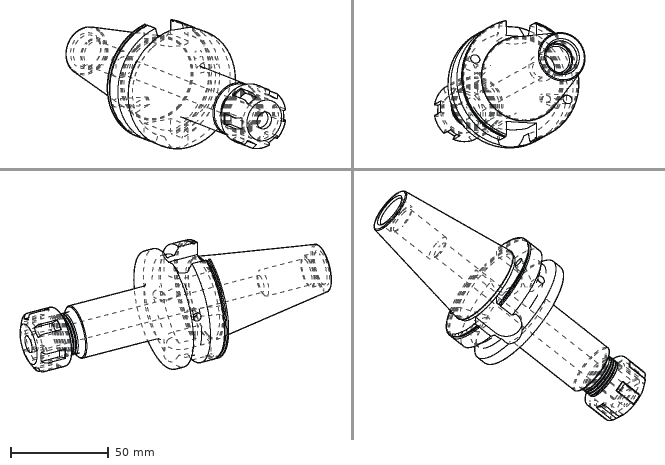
import cadquery as cq
import math

overall_length = 165.4

taper_length = 65.7
taper_end_radius = 22.2
taper_per_length = 7 / 24
taper_start_radius = taper_end_radius - taper_per_length * taper_length / 2
taper_start_chamfer = 0.5
taper_end_chamfer = 0.3

undercut_radius = 21.3
undercut_depth = 1.0
undercut_rim_radius = 24.6

flange_radius = 63.0 / 2
flange_start = 66.3
flange_end = 92.3
flange_edge_fillet = 1.0

ring_groove_start = 67.5
ring_groove_width = 1.7
ring_groove_wall_run = 0.5
ring_groove_depth = 0.7

gripper_floor_radius = 27.0
gripper_floor_start = 79.5
gripper_floor_end = 83.9
gripper_wall_angle = 30.0
gripper_wall_run = (flange_radius - gripper_floor_radius) * math.tan(math.radians(gripper_wall_angle))
gripper_floor_fillet = 0.5

keyway_width = 16.4
keyway_floor_radius = 22.5
keyway_end = 88.3

plug_hole_diameter = 4.3
plug_hole_radial_place = 26.6
plug_hole_lean = 30.0
plug_hole_angles = (20.0, 200.0)
groove_hole_diameter = 4.3
groove_hole_place = (gripper_floor_start + gripper_floor_end) / 2
plug_hole_run = groove_hole_place - flange_start
plug_hole_length = plug_hole_run / math.cos(math.radians(plug_hole_lean))
hole_meeting_radius = plug_hole_radial_place - plug_hole_run * math.tan(math.radians(plug_hole_lean))

shank_radius = 28.0 / 2
shank_root_fillet = 4.8
shank_end = 139.3
shank_edge_chamfer = 0.5

thread_radius = 22.0 / 2
thread_pitch = 1.5
thread_depth = 0.91
thread_groove_width = 1.3
thread_overcut = 0.2
thread_start = 141.9
thread_start_turn = 225.0
nose_end = 162.1
nose_root_fillet = 0.5

bore_radius = 4.5
counterbore_radius = 8.5
counterbore_depth = 8.0
mouth_radius = 9.5
mouth_depth = mouth_radius - counterbore_radius
tap_bore_radius = 7.0
tap_chamfer = 0.8
tap_bore_end = 33.0
drill_point_angle = 118.0
drill_point_length = (tap_bore_radius - bore_radius) / math.tan(math.radians(drill_point_angle / 2))

nut_radius = 31.5 / 2
nut_start = 147.4
nut_back_fillet = 2.0
nut_face_radius = 10.8
nut_cone_angle = 30.0
nut_cone_start = overall_length - (nut_radius - nut_face_radius) * math.tan(math.radians(nut_cone_angle))
nut_front_fillet = 1.7

slot_count = 6
slot_width = 5.8
slot_start = 151.5
slot_floor_radius = 12.9
slot_wall_depth = 0.8
slot_ramp_run = 2.3

clearance = 1.7
edge_tolerance = 0.02


def revolved(points):
    """Solid of revolution about X from a closed outline of (x, radius) points."""
    return cq.Workplane("XZ").polyline(points).close().revolve(360, (0, 0, 0), (1, 0, 0))


def edge_ring(x, radius):
    """Selector for the circular edge of a given radius about X, at a given x."""
    def box(reach):
        low = (x - edge_tolerance, -reach, -reach)
        high = (x + edge_tolerance, reach, reach)
        return cq.selectors.BoxSelector(low, high, boundingbox=True)

    return box(radius + edge_tolerance) - box(radius - edge_tolerance)


def turned_blank():
    """Taper, flange, shank and nose as one turned solid, without grooves in the flange rim."""
    blank = revolved([
        (0, 0),
        (0, taper_start_radius),
        (taper_length, taper_end_radius),
        (taper_length, undercut_radius),
        (flange_start + undercut_depth, undercut_radius),
        (flange_start, undercut_rim_radius),
        (flange_start, flange_radius),
        (gripper_floor_start - gripper_wall_run, flange_radius),
        (gripper_floor_start, gripper_floor_radius),
        (gripper_floor_end, gripper_floor_radius),
        (gripper_floor_end + gripper_wall_run, flange_radius),
        (flange_end, flange_radius),
        (flange_end, shank_radius),
        (shank_end, shank_radius),
        (shank_end, thread_radius),
        (nose_end, thread_radius),
        (nose_end, 0),
    ])
    blank = blank.edges(edge_ring(0, taper_start_radius)).chamfer(taper_start_chamfer)
    blank = blank.edges(edge_ring(taper_length, taper_end_radius)).chamfer(taper_end_chamfer)
    for x in (flange_start, flange_end):
        blank = blank.edges(edge_ring(x, flange_radius)).fillet(flange_edge_fillet)
    for x in (gripper_floor_start, gripper_floor_end):
        blank = blank.edges(edge_ring(x, gripper_floor_radius)).fillet(gripper_floor_fillet)
    blank = blank.edges(edge_ring(flange_end, shank_radius)).fillet(shank_root_fillet)
    blank = blank.edges(edge_ring(shank_end, shank_radius)).chamfer(shank_edge_chamfer)
    return blank.edges(edge_ring(shank_end, thread_radius)).fillet(nose_root_fillet)


def ring_groove():
    floor_radius = flange_radius - ring_groove_depth
    ring_groove_end = ring_groove_start + ring_groove_width
    return revolved([
        (ring_groove_start, flange_radius),
        (ring_groove_start + ring_groove_wall_run, floor_radius),
        (ring_groove_end - ring_groove_wall_run, floor_radius),
        (ring_groove_end, flange_radius),
    ])


def holder_bore():
    """Stepped bore: mouth chamfer, counterbore, tapped bore with a drill point, through bore."""
    return revolved([
        (0, 0),
        (0, mouth_radius),
        (mouth_depth, counterbore_radius),
        (counterbore_depth, counterbore_radius),
        (counterbore_depth, tap_bore_radius + tap_chamfer),
        (counterbore_depth + tap_chamfer, tap_bore_radius),
        (tap_bore_end, tap_bore_radius),
        (tap_bore_end + drill_point_length, bore_radius),
        (nose_end, bore_radius),
        (nose_end, 0),
    ])


def keyway():
    """Round-ended keyway cutter at +Z, open toward the taper."""
    height = flange_radius + clearance - keyway_floor_radius
    round_centre = keyway_end - keyway_width / 2
    open_end = flange_start - clearance
    straight = (
        cq.Workplane("XY", origin=(0, 0, keyway_floor_radius))
        .moveTo((open_end + round_centre) / 2, 0)
        .rect(round_centre - open_end, keyway_width)
        .extrude(height)
    )
    round_end = (
        cq.Workplane("XY", origin=(round_centre, 0, keyway_floor_radius))
        .circle(keyway_width / 2)
        .extrude(height)
    )
    return straight.union(round_end)


def plug_hole(angle):
    """Leaning face hole and the radial groove hole that it meets, turned to an angle about X."""
    lean = math.radians(plug_hole_lean)
    direction = cq.Vector(math.cos(lean), -math.sin(lean), 0)
    face_centre = cq.Vector(flange_start, plug_hole_radial_place, 0)
    leaning = cq.Solid.makeCylinder(
        plug_hole_diameter / 2,
        plug_hole_length + clearance,
        face_centre - direction * clearance,
        direction,
    )
    radial = cq.Solid.makeCylinder(
        groove_hole_diameter / 2,
        flange_radius - hole_meeting_radius,
        cq.Vector(groove_hole_place, hole_meeting_radius, 0),
        cq.Vector(0, 1, 0),
    )
    return cq.Workplane(leaning).union(cq.Workplane(radial)).rotate((0, 0, 0), (1, 0, 0), angle)


def thread_groove():
    """Helical V groove, wound about X and running just under the nut."""
    length = nut_start + thread_pitch / 2 - thread_start
    rim = thread_radius + thread_overcut
    half_width = thread_groove_width / 2
    helix = cq.Wire.makeHelix(thread_pitch, length, thread_radius)
    groove = (
        cq.Workplane("XZ")
        .polyline([(rim, -half_width), (thread_radius - thread_depth, 0), (rim, half_width)])
        .close()
        .sweep(cq.Workplane(helix), isFrenet=True)
    )
    groove = groove.rotate((0, 0, 0), (0, 1, 0), 90).rotate((0, 0, 0), (1, 0, 0), thread_start_turn)
    return groove.translate((thread_start, 0, 0))


def make_holder():
    body = turned_blank().cut(ring_groove()).cut(holder_bore())
    for turn in (0, 180):
        body = body.cut(keyway().rotate((0, 0, 0), (1, 0, 0), turn))
    for angle in plug_hole_angles:
        body = body.cut(plug_hole(angle))
    return body.cut(thread_groove())


def spanner_slot(angle):
    """Slot cutter with a short wall and a ramp at its start, open at the nut face, turned about X."""
    top = nut_radius + clearance
    return (
        cq.Workplane("XY", origin=(0, 0, -slot_width / 2))
        .polyline([
            (slot_start, top),
            (slot_start, nut_radius - slot_wall_depth),
            (slot_start + slot_ramp_run, slot_floor_radius),
            (overall_length + clearance, slot_floor_radius),
            (overall_length + clearance, top),
        ])
        .close()
        .extrude(slot_width)
        .rotate((0, 0, 0), (1, 0, 0), angle)
    )


def make_nut():
    body = revolved([
        (nut_start, thread_radius),
        (nut_start, nut_radius),
        (nut_cone_start, nut_radius),
        (overall_length, nut_face_radius),
        (overall_length, bore_radius),
        (nose_end, bore_radius),
        (nose_end, thread_radius),
    ])
    body = body.edges(edge_ring(nut_start, nut_radius)).fillet(nut_back_fillet)
    body = body.edges(edge_ring(nut_cone_start, nut_radius)).fillet(nut_front_fillet)
    for index in range(slot_count):
        body = body.cut(spanner_slot(index * 360 / slot_count))
    return body


holder = make_holder()
nut = make_nut()
result = cq.Compound.makeCompound([holder.solids().val(), nut.solids().val()])